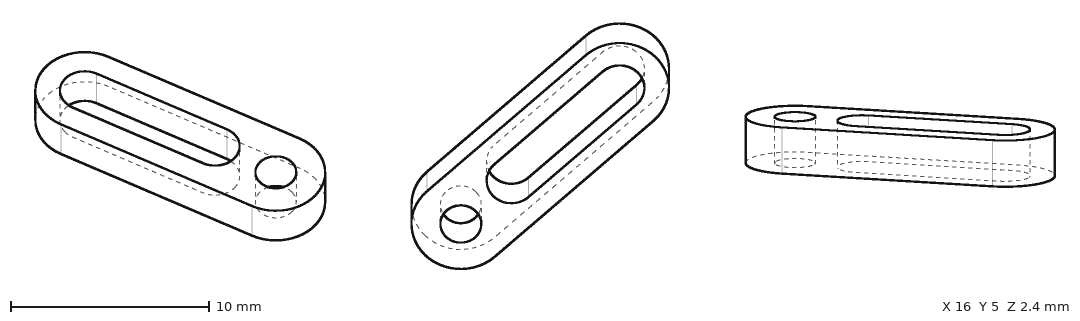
import cadquery as cq

length = 16.0
width = 5.0
thickness = 2.4
end_offset = (length - width) / 2

slot_length = 10.0
slot_width = width / 2
slot_centre = -end_offset + (slot_length - slot_width) / 2

hole_diameter = 2.06


def make_bar():
    return cq.Workplane("XY").slot2D(length, width).extrude(thickness)


def make_slot():
    return cq.Workplane("XY").center(slot_centre, 0).slot2D(slot_length, slot_width).extrude(thickness)


def make_hole():
    return cq.Workplane("XY").center(end_offset, 0).circle(hole_diameter / 2).extrude(thickness)


result = make_bar().cut(make_slot()).cut(make_hole())